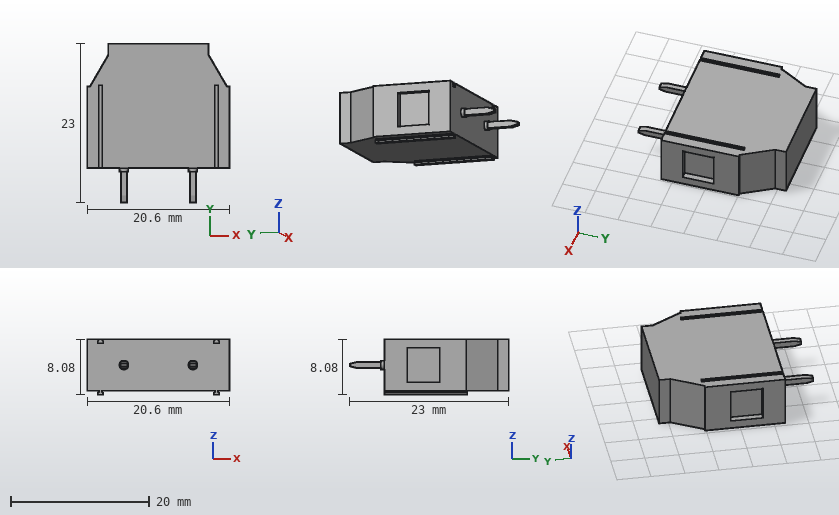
import cadquery as cq

OVERALL_LENGTH = 23

HOUSING_WIDTH = 20.6
HOUSING_LENGTH = 18.0
HOUSING_HEIGHT = 7.5
SHOULDER_Y = 11.8
SHOULDER_STEP = 0.4
NOSE_WIDTH = 14.54
NOSE_START_Y = 16.35

POCKET_LENGTH = 4.74
POCKET_HEIGHT = 5.0
POCKET_DEPTH = 1.0
POCKET_START_Y = 3.27

RAIL_OFFSET = 8.4
RAIL_LENGTH = 12.0
RAIL_HEIGHT = 0.58
RAIL_NECK_WIDTH = 0.45
RAIL_NECK_HEIGHT = 0.12
RAIL_HEAD_WIDTH = 0.8

PIN_OFFSET = 5.0
PIN_LENGTH = OVERALL_LENGTH - HOUSING_LENGTH
PIN_SIDE = 0.9
COLLAR_DIAMETER = 1.3
COLLAR_LENGTH = 0.5
TIP_LENGTH = 1.0
TIP_HEIGHT = 0.4

TOP_Z = HOUSING_HEIGHT / 2
SIDES = (-1, 1)


def make_housing():
    """Prism with a narrower nose joined to the wide part by sloped flanks."""
    half_width = HOUSING_WIDTH / 2
    half_nose = NOSE_WIDTH / 2
    right_outline = [
        (half_width, 0),
        (half_width, SHOULDER_Y),
        (half_width - SHOULDER_STEP, SHOULDER_Y),
        (half_nose, NOSE_START_Y),
        (half_nose, HOUSING_LENGTH),
    ]
    left_outline = [(-x, y) for x, y in reversed(right_outline)]
    outline = cq.Workplane("XY").workplane(offset=-TOP_Z).polyline(right_outline + left_outline)
    return outline.close().extrude(HOUSING_HEIGHT)


def make_pocket(side):
    """Block to cut from the left (-1) or right (+1) side face."""
    center_x = side * (HOUSING_WIDTH - POCKET_DEPTH) / 2
    center_y = POCKET_START_Y + POCKET_LENGTH / 2
    pocket = cq.Workplane("XY").box(POCKET_DEPTH, POCKET_LENGTH, POCKET_HEIGHT)
    return pocket.translate((center_x, center_y, 0))


def make_rail(side, surface_z):
    """Undercut rail hanging down from surface_z: narrow neck, 45-degree flare, wide head."""
    half_neck = RAIL_NECK_WIDTH / 2
    half_head = RAIL_HEAD_WIDTH / 2
    flare_start_z = -RAIL_NECK_HEIGHT
    flare_end_z = flare_start_z - (half_head - half_neck)
    right_profile = [
        (half_neck, 0),
        (half_neck, flare_start_z),
        (half_head, flare_end_z),
        (half_head, -RAIL_HEIGHT),
    ]
    left_profile = [(-x, z) for x, z in reversed(right_profile)]
    profile = cq.Workplane("XZ").polyline(right_profile + left_profile).close()
    return profile.extrude(-RAIL_LENGTH).translate((side * RAIL_OFFSET, 0, surface_z))


def make_pin(side):
    """Pin pointing forward (-Y) from the front face."""
    half_side = PIN_SIDE / 2
    half_tip = TIP_HEIGHT / 2
    taper_y = TIP_LENGTH - PIN_LENGTH
    shank_profile = [
        (0, half_side),
        (taper_y, half_side),
        (-PIN_LENGTH, half_tip),
        (-PIN_LENGTH, -half_tip),
        (taper_y, -half_side),
        (0, -half_side),
    ]
    shank = cq.Workplane("YZ").polyline(shank_profile).close().extrude(half_side, both=True)
    collar = cq.Workplane("XZ").circle(COLLAR_DIAMETER / 2).extrude(COLLAR_LENGTH)
    return collar.union(shank).translate((side * PIN_OFFSET, 0, 0))


result = make_housing()
for side in SIDES:
    result = result.cut(make_pocket(side))
    result = result.cut(make_rail(side, TOP_Z))
    result = result.union(make_rail(side, -TOP_Z))
    result = result.union(make_pin(side))